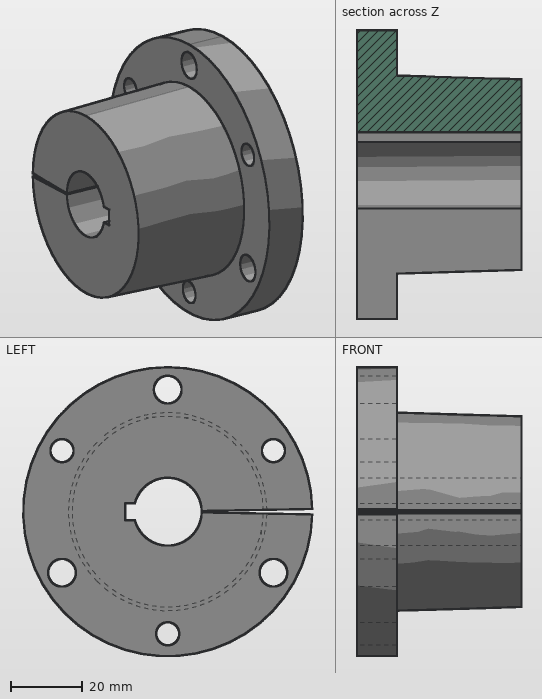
import cadquery as cq
import math

flange_radius = 40.5
flange_thickness = 11.25
total_length = 46.1
hub_base_radius = 27.8
hub_end_radius = 26.7

bore_radius = 9.5
keyway_width = 4.7
keyway_reach = 11.8

bolt_circle_radius = 34.2
large_hole_diameter = 7.7
small_hole_diameter = 6.4
holes_per_set = 3

split_width_at_bore = 0.3
split_width_at_rim = 1.45


def make_body():
    """Revolve the flange and tapered hub about the X axis."""
    return (
        cq.Workplane("XZ")
        .polyline([
            (0, 0),
            (0, flange_radius),
            (flange_thickness, flange_radius),
            (flange_thickness, hub_base_radius),
            (total_length, hub_end_radius),
            (total_length, 0),
        ])
        .close()
        .revolve(360, (0, 0, 0), (1, 0, 0))
    )


def make_bore():
    return cq.Workplane("YZ").circle(bore_radius).extrude(total_length)


def make_keyway():
    """Slot on the +Y side of the bore, running the whole length."""
    return (
        cq.Workplane("YZ")
        .center(keyway_reach / 2, 0)
        .rect(keyway_reach, keyway_width)
        .extrude(total_length)
    )


def make_split():
    """Radial wedge on the -Y side, from inside the bore to the rim."""
    half_at_bore = split_width_at_bore / 2
    half_at_rim = split_width_at_rim / 2
    bore_wall = -bore_radius
    rim = -flange_radius
    return (
        cq.Workplane("YZ")
        .polyline([
            (0, -half_at_bore),
            (bore_wall, -half_at_bore),
            (rim, -half_at_rim),
            (rim, half_at_rim),
            (bore_wall, half_at_bore),
            (0, half_at_bore),
        ])
        .close()
        .extrude(total_length)
    )


def make_holes(diameter, start_angle):
    """Evenly spaced flange holes; angles are measured from +Y towards +Z."""
    angles = [start_angle + i * 360 / holes_per_set for i in range(holes_per_set)]
    centres = [
        (
            bolt_circle_radius * math.cos(math.radians(angle)),
            bolt_circle_radius * math.sin(math.radians(angle)),
        )
        for angle in angles
    ]
    return (
        cq.Workplane("YZ")
        .pushPoints(centres)
        .circle(diameter / 2)
        .extrude(flange_thickness)
    )


result = (
    make_body()
    .cut(make_bore())
    .cut(make_keyway())
    .cut(make_split())
    .cut(make_holes(large_hole_diameter, 90))
    .cut(make_holes(small_hole_diameter, 30))
)